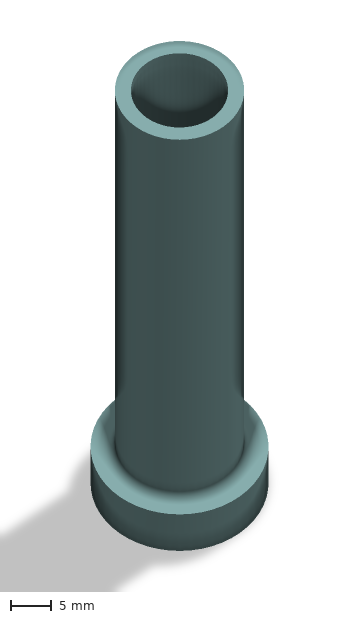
import cadquery as cq

total_height = 75.0
head_diameter = 22.0
head_height = 7.0
tube_diameter = 16.0
bore_diameter = 12.0
neck_fillet_radius = 0.8

head = cq.Workplane("XY").circle(head_diameter / 2).extrude(head_height)
tube = cq.Workplane("XY").circle(tube_diameter / 2).extrude(total_height)
body = head.union(tube)

neck_corner = cq.selectors.RadiusNthSelector(0)
neck_edges = body.faces(cq.selectors.NearestToPointSelector((0, 0, head_height))).edges(neck_corner)
body = neck_edges.fillet(neck_fillet_radius)

bore = cq.Workplane("XY").circle(bore_diameter / 2).extrude(total_height)
result = body.cut(bore)